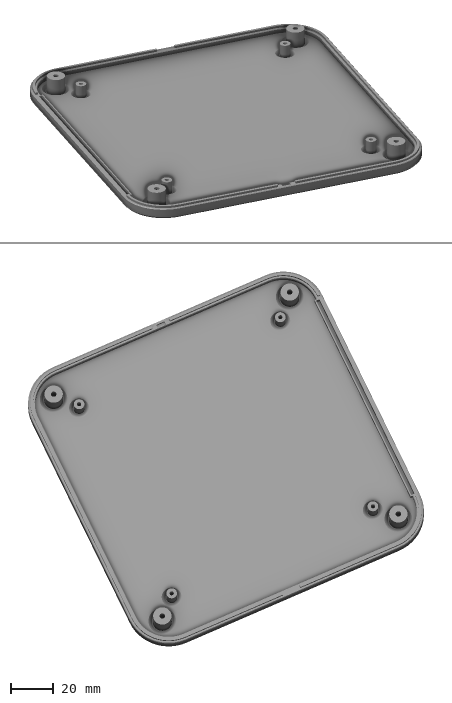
import cadquery as cq

SIDE = 149.95
CORNER_RADIUS = 20.0
FLOOR_TOP = 3.0
WALL_TOP = 5.3
WALL_THICKNESS = 3.4
BOTTOM_CHAMFER = 1.1
WALL_EDGE_CHAMFER = 0.3

LIP_TOP = 6.4
LIP_OUTER_INSET = 1.1
LIP_INNER_INSET = 2.3
NOTCH_WIDTH = 9.0
FRONT_GAP_LENGTH = 110.0

POCKET_LENGTH = 4.2
POCKET_OUTER_INSET = 1.2
POCKET_INNER_INSET = WALL_THICKNESS - WALL_EDGE_CHAMFER
POCKET_DEPTH = 1.0

RIB_LENGTH = 108.0
RIB_THICKNESS = 0.6
RIB_INNER_INSET = 4.4
GROOVE_OUTER_INSET = 2.1

SCREW_POST_OFFSET = 61.0
SCREW_POST_TOP = 9.9
SCREW_POST_TOP_DIAMETER = 8.6
SCREW_POST_BASE_DIAMETER = 8.9
SCREW_HOLE_DIAMETER = 2.6
SCREW_RECESS_DIAMETER = 13.0

PIN_POST_OFFSET = 52.0
PIN_POST_TOP = 8.2
PIN_POST_DIAMETER = 5.0
PIN_HOLE_DIAMETER = 2.0
PIN_RECESS_DIAMETER = 9.4

RECESS_DEPTH = 1.2
RECESS_FLOOR_WIDTH = 0.5
RECESS_BOTTOM = FLOOR_TOP - RECESS_DEPTH


def rounded_square(inset, bottom, top):
    """Square slab with rounded corners, shrunk evenly by inset."""
    side = SIDE - 2 * inset
    slab = cq.Workplane("XY").workplane(offset=bottom).rect(side, side).extrude(top - bottom)
    return slab.edges("|Z").fillet(CORNER_RADIUS - inset)


def block(length_x, length_y, bottom, top, x=0, y=0):
    """Upright block centred on (x, y)."""
    plane = cq.Workplane("XY").workplane(offset=bottom).center(x, y)
    return plane.rect(length_x, length_y).extrude(top - bottom)


def cone(bottom_diameter, top_diameter, bottom, top):
    """Upright cone frustum on the Z axis; equal diameters give a cylinder."""
    profile = [
        (0, bottom),
        (bottom_diameter / 2, bottom),
        (top_diameter / 2, top),
        (0, top),
    ]
    return cq.Workplane("XZ").polyline(profile).close().revolve(360, (0, 0), (0, 1))


def make_tray():
    body = rounded_square(0, 0, WALL_TOP).faces("<Z").chamfer(BOTTOM_CHAMFER)
    body = body.cut(rounded_square(WALL_THICKNESS, FLOOR_TOP, WALL_TOP))
    return body.faces(">Z").chamfer(WALL_EDGE_CHAMFER)


def make_lip():
    lip = rounded_square(LIP_OUTER_INSET, WALL_TOP, LIP_TOP)
    lip = lip.cut(rounded_square(LIP_INNER_INSET, WALL_TOP, LIP_TOP))
    side_notches = block(SIDE, NOTCH_WIDTH, WALL_TOP, LIP_TOP)
    front_gap = block(FRONT_GAP_LENGTH, SIDE / 2, WALL_TOP, LIP_TOP, y=-SIDE / 2)
    return lip.cut(side_notches).cut(front_gap)


def add_front_groove(body):
    rib_inner_y = -SIDE / 2 + RIB_INNER_INSET
    rib_outer_y = -SIDE / 2 + GROOVE_OUTER_INSET
    rib_width = rib_inner_y - rib_outer_y
    rib_middle_y = (rib_inner_y + rib_outer_y) / 2
    groove_width = rib_width - RIB_THICKNESS
    groove_middle_y = rib_outer_y + groove_width / 2
    groove_length = RIB_LENGTH - 2 * RIB_THICKNESS
    rib = block(RIB_LENGTH, rib_width, FLOOR_TOP, WALL_TOP, y=rib_middle_y)
    groove = block(groove_length, groove_width, FLOOR_TOP, WALL_TOP, y=groove_middle_y)
    return body.union(rib).cut(groove)


def cut_notch_pocket(body):
    width = POCKET_INNER_INSET - POCKET_OUTER_INSET
    middle_x = SIDE / 2 - (POCKET_INNER_INSET + POCKET_OUTER_INSET) / 2
    return body.cut(block(width, POCKET_LENGTH, WALL_TOP - POCKET_DEPTH, WALL_TOP, x=middle_x))


def add_posts(body, offset, base_diameter, top_diameter, top, recess_diameter, hole_diameter, hole_bottom):
    """Four drilled posts, one per corner, each standing in a conical recess."""
    recess = cone(base_diameter + 2 * RECESS_FLOOR_WIDTH, recess_diameter, RECESS_BOTTOM, FLOOR_TOP)
    post = cone(base_diameter, top_diameter, RECESS_BOTTOM, top)
    hole = cone(hole_diameter, hole_diameter, hole_bottom, top)
    for x in (-offset, offset):
        for y in (-offset, offset):
            place = (x, y, 0)
            body = body.cut(recess.translate(place))
            body = body.union(post.translate(place))
            body = body.cut(hole.translate(place))
    return body


result = make_tray().union(make_lip())
result = add_front_groove(result)
result = cut_notch_pocket(result)
result = add_posts(
    result,
    SCREW_POST_OFFSET,
    SCREW_POST_BASE_DIAMETER,
    SCREW_POST_TOP_DIAMETER,
    SCREW_POST_TOP,
    SCREW_RECESS_DIAMETER,
    SCREW_HOLE_DIAMETER,
    hole_bottom=0,
)
result = add_posts(
    result,
    PIN_POST_OFFSET,
    PIN_POST_DIAMETER,
    PIN_POST_DIAMETER,
    PIN_POST_TOP,
    PIN_RECESS_DIAMETER,
    PIN_HOLE_DIAMETER,
    hole_bottom=RECESS_BOTTOM,
)